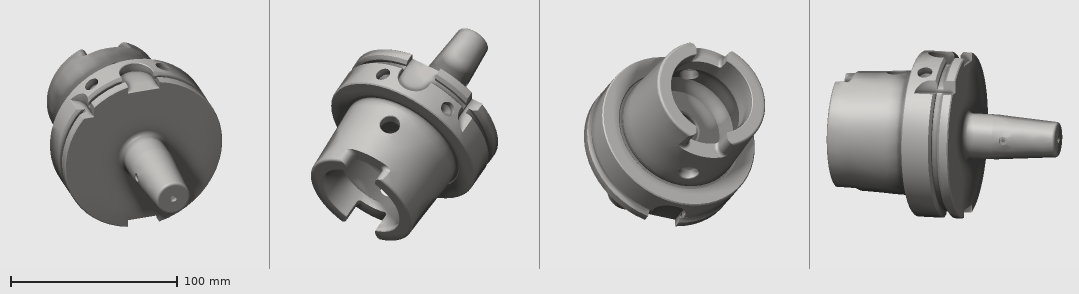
import cadquery as cq
import math

total_length = 135.1

taper_length = 47.4
taper_end_radius = 75.4 / 2
taper_ratio = 0.05
taper_front_radius = taper_end_radius - taper_ratio * taper_length
taper_edge_round = 1.6

undercut_radius = taper_end_radius - 0.1
undercut_start = taper_length + 0.8
undercut_end = taper_length + 1.8
undercut_depth = 0.5
face_relief_radius = 39.3
face_relief_depth = 0.5

bore_radius = 53.0 / 2
mouth_chamfer = 0.4
bore_end = 20.0
clamp_radius = 63.0 / 2
clamp_slope = math.radians(60)
clamp_end = 40.4
floor_radius = 25.1
bore_floor = clamp_end + clamp_radius - floor_radius

socket_radius = 22.4 / 2
socket_mouth_radius = 24.3 / 2
socket_floor = 63.5
countersink_radius = 12.0 / 2
passage_radius = 4.2 / 2

flange_start = 50.0
flange_end = 79.0
flange_radius = 50.0
flange_chamfer = 0.7
groove_start = 66.7
groove_end = 73.5
groove_floor_start = 68.1
groove_floor_end = 71.7
groove_shoulder_radius = 47.8
groove_floor_radius = 45.9

nose_radius = 27.0 / 2
nose_straight_end = 97.0
nose_tip_radius = 10.5
nose_root_round = 2.7
nose_tip_round = 1.6

drive_half_width = 10.0
drive_shoulder_height = 32.2
drive_corner_radius = 4.6
drive_floor_round = 2.2
upper_drive_depth = 10.0
lower_drive_depth = 14.7

flange_slot_width = 20.0
flange_slot_center = 64.8
flange_slot_chamfer = 0.4
upper_slot_floor = 44.0
side_slot_wall = 31.5
side_slot_floor = 31.6

cross_hole_radius = 12.0 / 2
cross_hole_position = 35.0
cross_hole_chamfer = 0.4
flange_hole_radius = 9.0 / 2
flange_hole_position = 58.9
flange_hole_depth = 5.0
flange_hole_angles = (-22.1, 31.8)
drill_tip_angle = 118
screw_position = 103.9
screw_radius = 5.0 / 2
screw_socket_radius = 1.1
screw_floor = 11.9
screw_socket_depth = 1.4


def drill_tip_length(radial_width):
    """Axial length of a drill-point cone over a radial width."""
    return radial_width / math.tan(math.radians(drill_tip_angle / 2))


def turned_body():
    """Outside of the holder, turned about X."""
    profile = (
        cq.Workplane("XY")
        .moveTo(0, 0)
        .lineTo(0, taper_front_radius)
        .lineTo(taper_length, taper_end_radius)
        .lineTo(undercut_start, undercut_radius)
        .lineTo(undercut_end, undercut_radius)
        .lineTo(flange_start + face_relief_depth, undercut_radius - undercut_depth)
        .lineTo(flange_start + face_relief_depth, face_relief_radius - face_relief_depth)
        .lineTo(flange_start, face_relief_radius)
        .lineTo(flange_start, flange_radius - flange_chamfer)
        .lineTo(flange_start + flange_chamfer, flange_radius)
        .lineTo(groove_start, flange_radius)
        .lineTo(groove_floor_start, groove_shoulder_radius)
        .lineTo(groove_floor_start, groove_floor_radius)
        .lineTo(groove_floor_end, groove_floor_radius)
        .lineTo(groove_floor_end, groove_shoulder_radius)
        .lineTo(groove_end, flange_radius)
        .lineTo(flange_end - flange_chamfer, flange_radius)
        .lineTo(flange_end, flange_radius - flange_chamfer)
        .lineTo(flange_end, nose_radius)
        .lineTo(nose_straight_end, nose_radius)
        .lineTo(total_length, nose_tip_radius)
        .lineTo(total_length, 0)
        .close()
    )
    body = profile.revolve(360, (0, 0, 0), (1, 0, 0))
    body = body.faces("<X").edges().fillet(taper_edge_round)
    body = body.faces(">X").edges().fillet(nose_tip_round)
    root = cq.selectors.BoxSelector(
        (flange_end - 0.1, -nose_radius - 1.4, -nose_radius - 1.4),
        (flange_end + 0.1, nose_radius + 1.4, nose_radius + 1.4),
        boundingbox=True,
    )
    return body.edges(root).fillet(nose_root_round)


def inner_cavity():
    """Clamping bore, coolant socket and passage along the axis."""
    clamp_start = bore_end + (clamp_radius - bore_radius) / math.tan(clamp_slope)
    socket_chamfer = socket_mouth_radius - socket_radius
    countersink_end = socket_floor + drill_tip_length(countersink_radius - passage_radius)
    profile = (
        cq.Workplane("XY")
        .moveTo(0, 0)
        .lineTo(0, bore_radius + mouth_chamfer)
        .lineTo(mouth_chamfer, bore_radius)
        .lineTo(bore_end, bore_radius)
        .lineTo(clamp_start, clamp_radius)
        .lineTo(clamp_end, clamp_radius)
        .lineTo(bore_floor, floor_radius)
        .lineTo(bore_floor, socket_mouth_radius)
        .lineTo(bore_floor + socket_chamfer, socket_radius)
        .lineTo(socket_floor, socket_radius)
        .lineTo(socket_floor, countersink_radius)
        .lineTo(countersink_end, passage_radius)
        .lineTo(total_length, passage_radius)
        .lineTo(total_length, 0)
        .close()
    )
    return profile.revolve(360, (0, 0, 0), (1, 0, 0))


def drive_slot(depth):
    """Slot in the open end on the +Z side: a keyway that widens over two rounded shoulders."""
    shoulder_start = drive_half_width + drive_corner_radius
    straight_top = drive_shoulder_height - drive_corner_radius
    arc_offset = drive_corner_radius * (1 - math.sqrt(0.5))
    arc_mid = (drive_half_width + arc_offset, drive_shoulder_height - arc_offset)
    outside = flange_radius
    slot = (
        cq.Workplane("YZ")
        .moveTo(-drive_half_width, 0)
        .lineTo(drive_half_width, 0)
        .lineTo(drive_half_width, straight_top)
        .threePointArc(arc_mid, (shoulder_start, drive_shoulder_height))
        .lineTo(outside, drive_shoulder_height)
        .lineTo(outside, outside)
        .lineTo(-outside, outside)
        .lineTo(-outside, drive_shoulder_height)
        .lineTo(-shoulder_start, drive_shoulder_height)
        .threePointArc((-arc_mid[0], arc_mid[1]), (-drive_half_width, straight_top))
        .close()
        .extrude(depth)
    )
    return slot.faces(">X").edges().fillet(drive_floor_round)


def flange_slot(center_y, floor):
    """Slot cut from +Z, open towards the nose and closed by a half round."""
    height = flange_radius + 1.4 - floor
    length = flange_end + 1.4 - flange_slot_center
    base = cq.Workplane("XY", origin=(flange_slot_center, center_y, floor))
    channel = base.rect(length, flange_slot_width).extrude(height).translate((length / 2, 0, 0))
    return channel.union(base.circle(flange_slot_width / 2).extrude(height))


def cross_hole():
    """Hole through both walls of the taper."""
    return (
        cq.Workplane("XY", origin=(cross_hole_position, 0, -flange_radius))
        .circle(cross_hole_radius)
        .extrude(2 * flange_radius)
    )


def flange_hole(angle):
    """Blind drilled hole in the flange rim, tilted from +Z towards -Y by the angle."""
    floor = flange_radius - flange_hole_depth
    tip = floor - drill_tip_length(flange_hole_radius)
    profile = (
        cq.Workplane("XZ")
        .moveTo(0, tip)
        .lineTo(flange_hole_radius, floor)
        .lineTo(flange_hole_radius, flange_radius + 1.4)
        .lineTo(0, flange_radius + 1.4)
        .close()
    )
    hole = profile.revolve(360, (0, 0, 0), (0, 1, 0))
    return hole.rotate((0, 0, 0), (1, 0, 0), angle).translate((flange_hole_position, 0, 0))


def screw_hole():
    """Flat seat with a smaller blind hole on the -Y side of the nose."""
    seat = (
        cq.Workplane("XZ", origin=(screw_position, -screw_floor, 0))
        .circle(screw_radius)
        .extrude(nose_radius - screw_floor + 1.4)
    )
    socket = (
        cq.Workplane("XZ", origin=(screw_position, -screw_floor + screw_socket_depth, 0))
        .circle(screw_socket_radius)
        .extrude(screw_socket_depth)
    )
    return seat.union(socket)


def rim_edges(start, end, half_width, min_height):
    """Edges that lie wholly within a length of the axis, a width about it and beyond a height on +Z."""
    return cq.selectors.BoxSelector(
        (start, -half_width, min_height),
        (end, half_width, flange_radius + 1.4),
        boundingbox=True,
    )


def chamfer_both_sides(body, start, end, half_width, min_height, size):
    """Chamfer the same rim on the +Z and -Z sides of the body."""
    rim = rim_edges(start, end, half_width, min_height)
    for _ in range(2):
        body = body.edges(rim).chamfer(size).rotate((0, 0, 0), (1, 0, 0), 180)
    return body


result = turned_body().cut(inner_cavity())
for turn, drive_depth in ((0, upper_drive_depth), (180, lower_drive_depth)):
    result = result.cut(drive_slot(drive_depth).rotate((0, 0, 0), (1, 0, 0), turn))
    result = result.cut(flange_slot(0, upper_slot_floor).rotate((0, 0, 0), (1, 0, 0), turn))
result = result.cut(cross_hole())
result = chamfer_both_sides(
    result,
    cross_hole_position - cross_hole_radius - 0.1,
    cross_hole_position + cross_hole_radius + 0.1,
    cross_hole_radius + 0.1,
    clamp_radius + 0.1,
    cross_hole_chamfer,
)
result = chamfer_both_sides(
    result,
    flange_slot_center - flange_slot_width / 2 - 0.1,
    groove_start + 0.1,
    flange_slot_width / 2 + 0.1,
    groove_shoulder_radius,
    flange_slot_chamfer,
)
result = result.cut(flange_slot(-side_slot_wall - flange_slot_width / 2, side_slot_floor))
for hole_angle in flange_hole_angles:
    result = result.cut(flange_hole(hole_angle))
result = result.cut(screw_hole())